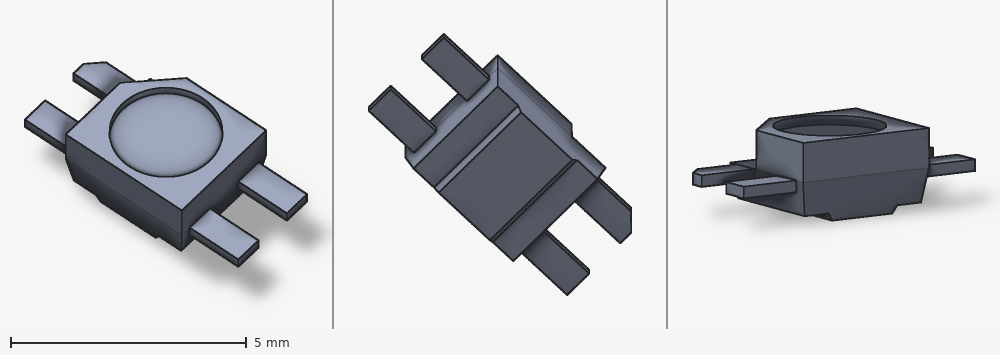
import cadquery as cq
import math

overall_length = 5.88
housing_length = 3.2
housing_width = 2.8

upper_height = 0.845
lower_height = 0.765
foot_height = 0.17
draft_angle = 9.0

corner_chamfer = 1.0
recess_diameter = 2.4
recess_depth = 0.2
foot_top_length = 1.74
foot_bottom_length = 1.515

lead_width = 0.67
lead_thickness = 0.25
lead_spacing = 1.61
lead_length = (overall_length - housing_length) / 2
lead_chamfer = lead_width / 2


def make_upper():
    """Straight-sided upper block with one cut corner and a round recess."""
    block = (
        cq.Workplane("XY")
        .rect(housing_length, housing_width)
        .extrude(upper_height)
        .edges("|Z and <X and >Y")
        .chamfer(corner_chamfer)
    )
    return block.faces(">Z").workplane(origin=(0, 0, upper_height)).hole(recess_diameter, recess_depth)


def make_lower():
    """Drafted lower block whose underside steps down to a narrower foot."""
    total_depth = lower_height + foot_height
    drafted_block = (
        cq.Workplane("XY")
        .rect(housing_length, housing_width)
        .extrude(-total_depth, taper=draft_angle)
    )
    ledge_half = housing_length / 2 - lower_height * math.tan(math.radians(draft_angle))
    profile = (
        cq.Workplane("XZ")
        .moveTo(-housing_length / 2, 0)
        .lineTo(-ledge_half, -lower_height)
        .lineTo(-foot_top_length / 2, -lower_height)
        .lineTo(-foot_bottom_length / 2, -total_depth)
        .lineTo(foot_bottom_length / 2, -total_depth)
        .lineTo(foot_top_length / 2, -lower_height)
        .lineTo(ledge_half, -lower_height)
        .lineTo(housing_length / 2, 0)
        .close()
        .extrude(housing_width / 2, both=True)
    )
    return drafted_block.intersect(profile)


def make_lead(side, row):
    """Flat lead reaching out from the housing side; side and row are -1 or 1."""
    lead = (
        cq.Workplane("XY")
        .box(lead_length, lead_width, lead_thickness)
        .translate((
            side * (housing_length + lead_length) / 2,
            row * lead_spacing / 2,
            -lead_thickness / 2,
        ))
    )
    if side < 0 and row > 0:
        lead = lead.edges("|Z and <X and >Y").chamfer(lead_chamfer)
    return lead


housing = make_upper().union(make_lower())
leads = [make_lead(side, row) for side in (-1, 1) for row in (-1, 1)]

result = cq.Compound.makeCompound([housing.val(), *[lead.val() for lead in leads]])